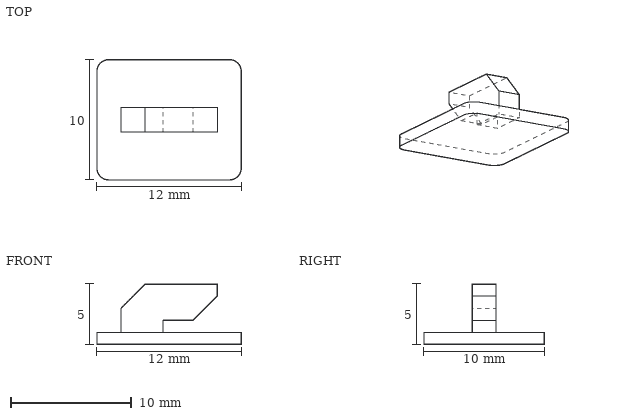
import cadquery as cq

plate_length = 12.0
plate_width = 10.0
plate_thickness = 1.0
corner_radius = 1.0

hook_length = 8.0
hook_width = 2.0
hook_height = 4.0
stem_length = 3.5
catch_gap = 1.0
back_chamfer = 2.0
tip_chamfer = 2.0


def make_plate():
    """Flat plate with rounded vertical corners, its underside at Z = 0."""
    plate = cq.Workplane("XY").box(
        plate_length, plate_width, plate_thickness, centered=(True, True, False)
    )
    return plate.edges("|Z").fillet(corner_radius)


def make_hook():
    """Hook profile in the XZ plane, extruded evenly about Y = 0."""
    back = -hook_length / 2
    tip = hook_length / 2
    stem_front = back + stem_length
    foot = plate_thickness
    top = foot + hook_height
    arm_underside = foot + catch_gap

    profile = [
        (back, foot),
        (back, top - back_chamfer),
        (back + back_chamfer, top),
        (tip, top),
        (tip, arm_underside + tip_chamfer),
        (tip - tip_chamfer, arm_underside),
        (stem_front, arm_underside),
        (stem_front, foot),
    ]
    return cq.Workplane("XZ").polyline(profile).close().extrude(hook_width / 2, both=True)


result = make_plate().union(make_hook())